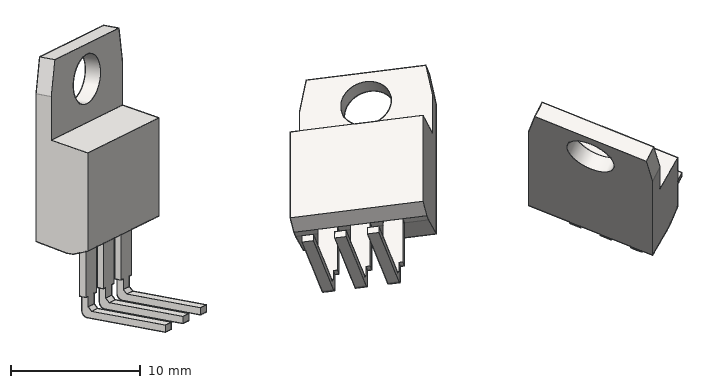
import cadquery as cq

width = 10.53
height = 21.05
depth = 10.36

tab_thickness = 1.4
tab_corner_inset = 0.53
tab_corner_z = 18.22
hole_diameter = 4.0
hole_z = 18.22

body_depth = 4.7
body_step_z = 14.68
body_front_top_z = 14.2
body_side_bottom_z = 6.23
body_bottom_z = 5.75

lead_x = 2.78
lead_thickness = 0.6
lead_pitch = 2.6
lead_wide = 1.55
lead_narrow = 0.9
lead_shoulder_z = 1.75
bend_outer_radius = 0.53
bend_inner_chamfer = 0.32
lead_front_x = lead_x + lead_thickness


def make_body():
    """Tab and moulded body as one side profile, extruded across the width."""
    profile = [
        (0, body_side_bottom_z),
        (lead_x, body_bottom_z),
        (lead_front_x, body_bottom_z),
        (body_depth, body_side_bottom_z),
        (body_depth, body_front_top_z),
        (tab_thickness, body_step_z),
        (tab_thickness, height),
        (0, height),
    ]
    return cq.Workplane("XZ").polyline(profile).close().extrude(width / 2, both=True)


def make_tab_outline():
    """Face outline with the two upper corners tapered inward."""
    half = width / 2
    top_half = half - tab_corner_inset
    outline = [
        (-half, 0),
        (half, 0),
        (half, tab_corner_z),
        (top_half, height),
        (-top_half, height),
        (-half, tab_corner_z),
    ]
    return cq.Workplane("YZ").polyline(outline).close().extrude(depth)


def make_hole():
    """Mounting hole through the tab."""
    return cq.Workplane("YZ").center(0, hole_z).circle(hole_diameter / 2).extrude(tab_thickness)


def make_lead(y):
    """Wide upper strip stepping down to a narrow strip bent forward."""
    shank = cq.Workplane("XY").box(
        lead_thickness, lead_wide, body_bottom_z - lead_shoulder_z, centered=(False, True, False)
    ).translate((lead_x, 0, lead_shoulder_z))
    bend_profile = [
        (lead_x, 0),
        (depth, 0),
        (depth, lead_thickness),
        (lead_front_x, lead_thickness),
        (lead_front_x, lead_shoulder_z),
        (lead_x, lead_shoulder_z),
    ]
    foot = cq.Workplane("XZ").polyline(bend_profile).close().extrude(lead_narrow / 2, both=True)
    outer_corner = cq.selectors.NearestToPointSelector((lead_x, 0, 0))
    inner_corner = cq.selectors.NearestToPointSelector((lead_front_x, 0, lead_thickness))
    foot = foot.edges("|Y").edges(outer_corner).fillet(bend_outer_radius)
    foot = foot.edges("|Y").edges(inner_corner).chamfer(bend_inner_chamfer)
    return shank.union(foot).translate((0, y, 0))


result = make_body().intersect(make_tab_outline()).cut(make_hole())
for position in (-1, 0, 1):
    result = result.union(make_lead(position * lead_pitch))